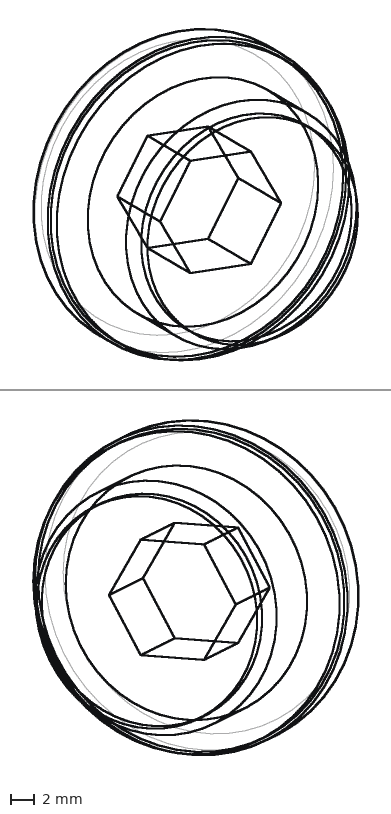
import cadquery as cq
import math

total_length = 14.0
head_diameter = 28.5
head_thickness = 3.55
head_edge_radius = 1.2
seal_diameter = 27.93
seal_thickness = 1.15
shank_diameter = 22.0
tip_diameter = 20.1
tip_length = 1.17
hex_across_flats = 10.0
hex_depth = 8.0

seal_end = head_thickness + seal_thickness
tip_start = total_length - tip_length
taper_length = (shank_diameter - tip_diameter) / 2
hex_across_corners = hex_across_flats / math.cos(math.radians(30))


def cylinder(diameter, start, end):
    """Solid cylinder on the X axis between two X positions."""
    return cq.Workplane("YZ", origin=(start, 0, 0)).circle(diameter / 2).extrude(end - start)


head = cylinder(head_diameter, 0, head_thickness).faces("<X").edges().fillet(head_edge_radius)
seal = cylinder(seal_diameter, head_thickness, seal_end)

shank = cylinder(shank_diameter, seal_end, tip_start).faces(">X").edges().chamfer(taper_length)
tip = cylinder(tip_diameter, tip_start, total_length)

socket = cq.Workplane("YZ").polygon(6, hex_across_corners).extrude(hex_depth)

result = head.union(seal).union(shank).union(tip).cut(socket)